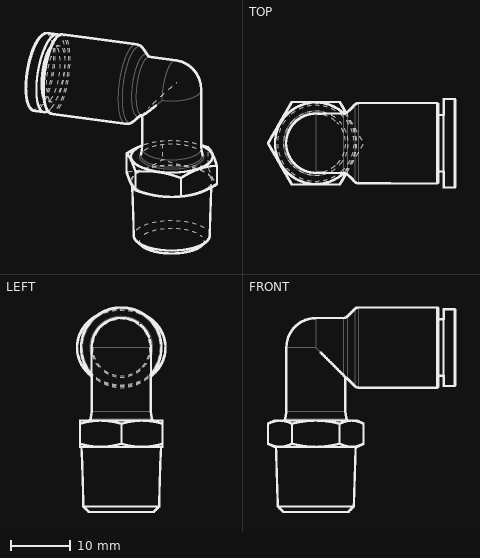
import cadquery as cq
import math

THREAD_CHAMFER = 1.0
HEX_BOTTOM = 11.0
HEX_HEIGHT = 4.5
HEX_TOP = HEX_BOTTOM + HEX_HEIGHT
FLARE_TOP = 17.0
TUBE_BODY_RADIUS = 6.8
OVERALL_HEIGHT = 34.6
ARM_HEIGHT = OVERALL_HEIGHT - TUBE_BODY_RADIUS

THREAD_TOP_RADIUS = 6.75
THREAD_TAPER = 1 / 16
THREAD_END_RADIUS = THREAD_TOP_RADIUS - (HEX_BOTTOM - THREAD_CHAMFER) * THREAD_TAPER / 2

HEX_FLATS = 14.0
HEX_CORNER_RADIUS = HEX_FLATS / math.sqrt(3)
HEX_FACE_RADIUS = 6.9
HEX_CHAMFER_ANGLE = 25.0
HEX_CHAMFER_HEIGHT = (HEX_CORNER_RADIUS - HEX_FACE_RADIUS) * math.tan(math.radians(HEX_CHAMFER_ANGLE))

ELBOW_RADIUS = 5.0
FLARE_RADIUS = 5.2
FOOT_FILLET = 0.25

CONE_START = 5.05
CONE_LENGTH = TUBE_BODY_RADIUS - ELBOW_RADIUS
CONE_END = CONE_START + CONE_LENGTH
CONE_ROOT_FILLET = 1.0
CONE_RIM_FILLET = 0.9
TUBE_BODY_END = 20.7
TUBE_BODY_CHAMFER = 0.2

SELECTION_MARGIN = 0.1

OVERALL_LENGTH = 31.68
RING_END = OVERALL_LENGTH - HEX_CORNER_RADIUS
RING_THICKNESS = 2.0
RING_START = RING_END - RING_THICKNESS
RING_NECK_RADIUS = 4.8
RING_HALF_WIDTH = 7.5
RING_HALF_HEIGHT = 6.5
RING_EDGE_CHAMFER = 0.2


def make_thread():
    profile = [
        (0, 0),
        (THREAD_END_RADIUS - THREAD_CHAMFER, 0),
        (THREAD_END_RADIUS, THREAD_CHAMFER),
        (THREAD_TOP_RADIUS, HEX_BOTTOM),
        (0, HEX_BOTTOM),
    ]
    return cq.Workplane("XZ").polyline(profile).close().revolve(360, (0, 0), (0, 1))


def make_hexagon():
    """Hexagon with corners on the X axis, both end faces corner-chamfered."""
    prism = (
        cq.Workplane("XY", origin=(0, 0, HEX_BOTTOM))
        .polygon(6, 2 * HEX_CORNER_RADIUS)
        .extrude(HEX_HEIGHT)
    )
    profile = [
        (0, HEX_BOTTOM),
        (HEX_FACE_RADIUS, HEX_BOTTOM),
        (HEX_CORNER_RADIUS, HEX_BOTTOM + HEX_CHAMFER_HEIGHT),
        (HEX_CORNER_RADIUS, HEX_TOP - HEX_CHAMFER_HEIGHT),
        (HEX_FACE_RADIUS, HEX_TOP),
        (0, HEX_TOP),
    ]
    envelope = cq.Workplane("XZ").polyline(profile).close().revolve(360, (0, 0), (0, 1))
    return prism.intersect(envelope)


def make_stem():
    """Vertical leg of the elbow, flared and rounded where it meets the hexagon."""
    fillet_bottom = (FLARE_RADIUS + FOOT_FILLET, HEX_TOP)
    fillet_top = (FLARE_RADIUS, HEX_TOP + FOOT_FILLET)
    fillet_sag = FOOT_FILLET * (1 - math.sqrt(0.5))
    fillet_middle = (FLARE_RADIUS + fillet_sag, HEX_TOP + fillet_sag)
    return (
        cq.Workplane("XZ")
        .moveTo(0, HEX_TOP)
        .lineTo(*fillet_bottom)
        .threePointArc(fillet_middle, fillet_top)
        .lineTo(ELBOW_RADIUS, FLARE_TOP)
        .lineTo(ELBOW_RADIUS, ARM_HEIGHT)
        .lineTo(0, ARM_HEIGHT)
        .close()
        .revolve(360, (0, 0), (0, 1))
    )


def circle_at(x, radius):
    """Selector for the arm's circular edge lying in the plane at x."""
    half_width = SELECTION_MARGIN / 2
    reach = radius + SELECTION_MARGIN
    return cq.selectors.BoxSelector(
        (x - half_width, -reach, ARM_HEIGHT - reach),
        (x + half_width, reach, ARM_HEIGHT + reach),
        boundingbox=True,
    )


def make_arm():
    """Horizontal leg of the elbow with its cone, tube body and ring neck."""
    profile = [
        (0, 0),
        (0, ELBOW_RADIUS),
        (CONE_START, ELBOW_RADIUS),
        (CONE_END, TUBE_BODY_RADIUS),
        (TUBE_BODY_END - TUBE_BODY_CHAMFER, TUBE_BODY_RADIUS),
        (TUBE_BODY_END, TUBE_BODY_RADIUS - TUBE_BODY_CHAMFER),
        (TUBE_BODY_END, RING_NECK_RADIUS),
        (RING_START, RING_NECK_RADIUS),
        (RING_START, 0),
    ]
    arm = (
        cq.Workplane("XZ", origin=(0, 0, ARM_HEIGHT))
        .polyline(profile)
        .close()
        .revolve(360, (0, 0), (1, 0))
    )
    arm = arm.edges(circle_at(CONE_START, ELBOW_RADIUS)).fillet(CONE_ROOT_FILLET)
    return arm.edges(circle_at(CONE_END, TUBE_BODY_RADIUS)).fillet(CONE_RIM_FILLET)


def make_ring():
    """Oval release ring, wider along Y than along Z."""
    return (
        cq.Workplane("YZ", origin=(RING_START, 0, ARM_HEIGHT))
        .ellipse(RING_HALF_WIDTH, RING_HALF_HEIGHT)
        .extrude(RING_THICKNESS)
        .faces(">X")
        .chamfer(RING_EDGE_CHAMFER)
    )


elbow_corner = cq.Workplane("XY", origin=(0, 0, ARM_HEIGHT)).sphere(ELBOW_RADIUS)

result = (
    make_thread()
    .union(make_hexagon())
    .union(make_stem())
    .union(elbow_corner)
    .union(make_arm())
    .union(make_ring())
)